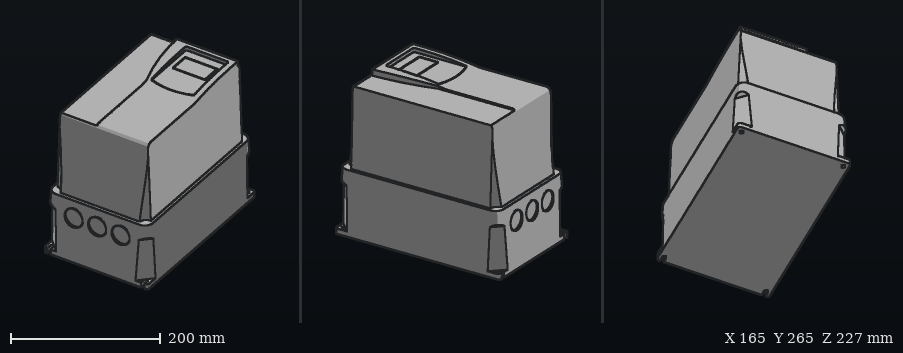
import cadquery as cq
import math

LENGTH = 265.0
WIDTH = 165.0
FLANGE_HEIGHT = 8.2
FLANGE_CORNER_RADIUS = 4.0
MOUNT_X = 74.7
MOUNT_Y = 124.5
MOUNT_DIAMETER = 5.3

RIM_Z = 97.5
RIM_WIDTH = 159.3
RIM_LENGTH = 256.3
RIM_CORNER_RADIUS = 13.0
BASE_CORNER_RADIUS = 5.8
CORNER_CUT_LEG = 19.3
CORNER_CUT_TOP_Z = 73.0
CORNER_CUT_DEPTH = 21.2

KNOCKOUT_DIAMETER = 28.5
KNOCKOUT_PITCH = 37.4
KNOCKOUT_Z = 70.0
KNOCKOUT_PLANE_Y = -127.2

COVER_Z = 220.0
COVER_BASE_WIDTH = 149.0
COVER_TOP_WIDTH = 140.0
COVER_HALF_LENGTH = 112.5
COVER_FRONT_RADIUS = 8.0
COVER_BACK_CHAMFER = 2.0
FLARE_START_Z = COVER_Z - COVER_FRONT_RADIUS
FLARE_DEPTH = 9.5
CORNER_SCALLOP_RADIUS = 11.7
CORNER_SCALLOP_Y = 123.8
LEDGE_DROP = 2.0
LEDGE_EDGE_X = -13.0

HUMP_TOP_Z = 227.0
HUMP_BACK_Y = 109.5
HUMP_CREST_Y = 89.5
HUMP_FRONT_Y = 1.0
HUMP_EDGE_FRONT_Y = 12.2
HUMP_BACK_X = -27.8
HUMP_CREST_X = -26.5
HUMP_EDGE_MID = (-22.8, 56.7)

KEYPAD_X = (-8.0, 60.0)
KEYPAD_BACK_Y = 101.2
KEYPAD_SIDE_FRONT_Y = 16.5
KEYPAD_FRONT_Y = 10.5
KEYPAD_FLOOR_Z = 221.0
KEYPAD_CORNER_RADIUS = 2.6
DISPLAY_X = (0.3, 51.5)
DISPLAY_Y = (56.5, 86.7)
DISPLAY_DEPTH = 0.8


def block(x_range, y_range, z_range):
    """Box given by its limits along each axis."""
    size = [high - low for low, high in (x_range, y_range, z_range)]
    return (
        cq.Workplane("XY")
        .box(*size, centered=False)
        .translate((x_range[0], y_range[0], z_range[0]))
    )


def tangent_arc_drop(run, total_run, total_drop):
    """Fall of a circular arc, level at its start, that drops total_drop over total_run."""
    radius = (total_run**2 + total_drop**2) / (2 * total_drop)
    return radius - math.sqrt(radius**2 - run**2)


def rounded_rectangle(width, length, radius, z):
    return cq.Sketch().rect(width, length).vertices().fillet(radius).moved(cq.Location(cq.Vector(0, 0, z)))


def make_flange():
    flange = cq.Workplane("XY").box(WIDTH, LENGTH, FLANGE_HEIGHT, centered=(True, True, False))
    flange = flange.edges("|Z").fillet(FLANGE_CORNER_RADIUS)
    mount_radius = MOUNT_DIAMETER / 2
    for x in (-MOUNT_X, MOUNT_X):
        for y in (-MOUNT_Y, MOUNT_Y):
            hole = cq.Workplane("XY").center(x, y).circle(mount_radius).extrude(FLANGE_HEIGHT)
            flange = flange.cut(hole)
        slot = block(
            (x - mount_radius, x + mount_radius), (-LENGTH / 2, -MOUNT_Y), (0, FLANGE_HEIGHT)
        )
        flange = flange.cut(slot)
    return flange


def corner_cutter(x_side, y_side):
    """Diagonal corner relief whose ceiling rises outward at 45 degrees."""
    start = CORNER_CUT_LEG / 2
    outward = cq.Vector(x_side, y_side, 0)
    sideways = cq.Vector(-y_side, x_side, 0)
    origin = cq.Vector(x_side * (WIDTH / 2 - start), y_side * (LENGTH / 2 - start), 0)
    profile = cq.Workplane(cq.Plane(origin=origin, xDir=outward, normal=sideways))
    up = profile.plane.yDir.z
    return (
        profile.moveTo(0, up * FLANGE_HEIGHT)
        .lineTo(0, up * CORNER_CUT_TOP_Z)
        .lineTo(CORNER_CUT_DEPTH, up * (CORNER_CUT_TOP_Z + CORNER_CUT_DEPTH))
        .lineTo(CORNER_CUT_DEPTH, up * FLANGE_HEIGHT)
        .close()
        .extrude(CORNER_CUT_LEG, both=True)
    )


def make_lower_housing():
    base = rounded_rectangle(WIDTH, LENGTH, BASE_CORNER_RADIUS, FLANGE_HEIGHT)
    rim = rounded_rectangle(RIM_WIDTH, RIM_LENGTH, RIM_CORNER_RADIUS, RIM_Z)
    housing = cq.Workplane("XY").placeSketch(base, rim).loft()
    for x_side in (-1, 1):
        for y_side in (-1, 1):
            housing = housing.cut(corner_cutter(x_side, y_side))
    for i in (-1, 0, 1):
        knockout = (
            cq.Workplane("XZ", origin=(i * KNOCKOUT_PITCH, KNOCKOUT_PLANE_Y, KNOCKOUT_Z))
            .circle(KNOCKOUT_DIAMETER / 2)
            .extrude(LENGTH / 2)
        )
        housing = housing.cut(knockout)
    return housing


def make_cover():
    flare_run = FLARE_START_Z - RIM_Z
    middle_y = COVER_HALF_LENGTH + tangent_arc_drop(flare_run / 2, flare_run, FLARE_DEPTH)
    middle_z = FLARE_START_Z - flare_run / 2
    base_y = COVER_HALF_LENGTH + FLARE_DEPTH
    side = (
        cq.Workplane("YZ")
        .moveTo(-base_y, RIM_Z)
        .threePointArc((-middle_y, middle_z), (-COVER_HALF_LENGTH, FLARE_START_Z))
        .radiusArc((-COVER_HALF_LENGTH + COVER_FRONT_RADIUS, COVER_Z), COVER_FRONT_RADIUS)
        .lineTo(COVER_HALF_LENGTH - COVER_BACK_CHAMFER, COVER_Z)
        .lineTo(COVER_HALF_LENGTH, COVER_Z - LEDGE_DROP - COVER_BACK_CHAMFER)
        .lineTo(COVER_HALF_LENGTH, FLARE_START_Z)
        .threePointArc((middle_y, middle_z), (base_y, RIM_Z))
        .close()
        .extrude(COVER_BASE_WIDTH, both=True)
    )
    for x in (-COVER_BASE_WIDTH / 2, COVER_BASE_WIDTH / 2):
        for y in (-CORNER_SCALLOP_Y, CORNER_SCALLOP_Y):
            scallop = (
                cq.Workplane("XY", origin=(x, y, RIM_Z))
                .circle(CORNER_SCALLOP_RADIUS)
                .extrude(FLARE_START_Z - RIM_Z)
            )
            side = side.cut(scallop)

    ledge = block(
        (-WIDTH, LEDGE_EDGE_X), (-LENGTH, LENGTH), (COVER_Z - LEDGE_DROP, HUMP_TOP_Z)
    )
    return side.cut(ledge).union(make_hump()).intersect(make_cover_taper())


def make_cover_taper():
    """Envelope with the cover's inward-leaning side walls, continued to the hump top."""
    lean = (COVER_BASE_WIDTH - COVER_TOP_WIDTH) / 2 / (COVER_Z - RIM_Z)
    base_x = COVER_BASE_WIDTH / 2
    top_x = base_x - lean * (HUMP_TOP_Z - RIM_Z)
    outline = [(-base_x, RIM_Z), (base_x, RIM_Z), (top_x, HUMP_TOP_Z), (-top_x, HUMP_TOP_Z)]
    return cq.Workplane("XZ").polyline(outline).close().extrude(LENGTH, both=True)


def make_hump():
    root_z = COVER_Z - 2 * LEDGE_DROP
    plan = (
        cq.Workplane("XY", origin=(0, 0, root_z))
        .moveTo(WIDTH / 2, HUMP_BACK_Y)
        .lineTo(HUMP_BACK_X, HUMP_BACK_Y)
        .lineTo(HUMP_CREST_X, HUMP_CREST_Y)
        .threePointArc(HUMP_EDGE_MID, (LEDGE_EDGE_X, HUMP_EDGE_FRONT_Y))
        .lineTo(LEDGE_EDGE_X, HUMP_FRONT_Y)
        .lineTo(WIDTH / 2, HUMP_FRONT_Y)
        .close()
        .extrude(HUMP_TOP_Z - root_z)
    )
    run = HUMP_CREST_Y - HUMP_FRONT_Y
    drop = tangent_arc_drop(run / 2, run, HUMP_TOP_Z - COVER_Z)
    slope = (
        cq.Workplane("YZ")
        .moveTo(HUMP_FRONT_Y, root_z)
        .lineTo(HUMP_FRONT_Y, COVER_Z)
        .threePointArc((HUMP_CREST_Y - run / 2, HUMP_TOP_Z - drop), (HUMP_CREST_Y, HUMP_TOP_Z))
        .lineTo(HUMP_BACK_Y, HUMP_TOP_Z)
        .lineTo(HUMP_BACK_Y, root_z)
        .close()
        .extrude(WIDTH, both=True)
    )
    return plan.intersect(slope)


def make_keypad_pocket():
    left, right = KEYPAD_X
    pocket = (
        cq.Workplane("XY", origin=(0, 0, KEYPAD_FLOOR_Z))
        .moveTo(left, KEYPAD_SIDE_FRONT_Y)
        .lineTo(left, KEYPAD_BACK_Y)
        .lineTo(right, KEYPAD_BACK_Y)
        .lineTo(right, KEYPAD_SIDE_FRONT_Y)
        .threePointArc(((left + right) / 2, KEYPAD_FRONT_Y), (left, KEYPAD_SIDE_FRONT_Y))
        .close()
        .extrude(HUMP_TOP_Z - KEYPAD_FLOOR_Z)
    )
    pocket = pocket.edges("|Z and >Y").fillet(KEYPAD_CORNER_RADIUS)
    display = block(DISPLAY_X, DISPLAY_Y, (KEYPAD_FLOOR_Z - DISPLAY_DEPTH, HUMP_TOP_Z))
    return pocket.union(display)


result = make_flange().union(make_lower_housing()).union(make_cover()).cut(make_keypad_pocket())